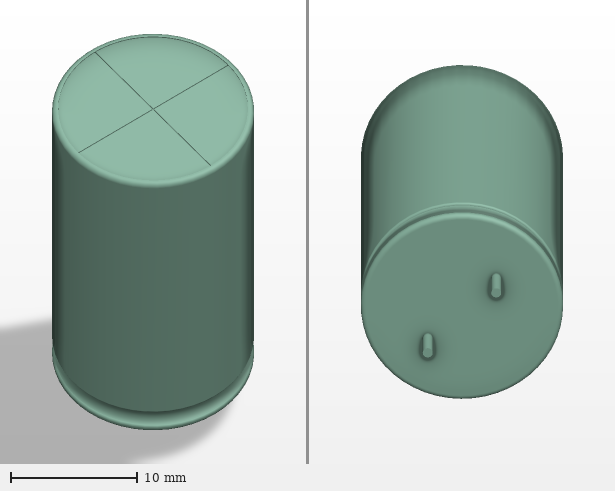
import cadquery as cq
import math

can_diameter = 16.0
overall_length = 33.0
lead_length = 3.0
can_length = overall_length - lead_length
can_radius = can_diameter / 2
edge_radius = 0.4

groove_bottom = 0.5
groove_top = 2.55
groove_depth = 0.8
lip_radius = 0.2

disc_diameter = 15.0
disc_recess = 0.1
score_width = 0.1
score_depth = 0.1

lead_diameter = 0.8
lead_spacing = 7.5
lead_embed = 0.33


def make_can():
    """Revolve the can's half profile: rounded end edges and an arc-shaped crimp groove."""
    flat_radius = can_radius - edge_radius
    lip_inner_radius = can_radius - lip_radius
    groove_floor_radius = can_radius - groove_depth
    groove_middle = (groove_bottom + groove_top) / 2
    edge_mid = edge_radius * math.sqrt(0.5)
    lip_mid = lip_radius * math.sqrt(0.5)

    top_edge_centre = can_length - edge_radius

    profile = (
        cq.Workplane("XZ")
        .lineTo(flat_radius, 0)
        .threePointArc((flat_radius + edge_mid, edge_radius - edge_mid), (can_radius, edge_radius))
        .lineTo(can_radius, groove_bottom)
        .threePointArc(
            (lip_inner_radius + lip_mid, groove_bottom + lip_mid),
            (lip_inner_radius, groove_bottom + lip_radius),
        )
        .threePointArc(
            (groove_floor_radius, groove_middle),
            (lip_inner_radius, groove_top - lip_radius),
        )
        .threePointArc((lip_inner_radius + lip_mid, groove_top - lip_mid), (can_radius, groove_top))
        .lineTo(can_radius, top_edge_centre)
        .threePointArc((flat_radius + edge_mid, top_edge_centre + edge_mid), (flat_radius, can_length))
        .lineTo(0, can_length)
        .close()
    )
    return profile.revolve(360, (0, 0, 0), (0, 1, 0))


def make_top_cut():
    """Shallow round recess with two crossed score lines in its floor."""
    disc_radius = disc_diameter / 2
    recess = cq.Workplane("XY").workplane(offset=can_length).circle(disc_radius).extrude(-disc_recess)
    floor = cq.Workplane("XY").workplane(offset=can_length - disc_recess)
    score_x = floor.rect(disc_diameter, score_width).extrude(-score_depth)
    score_y = floor.rect(score_width, disc_diameter).extrude(-score_depth)
    score_limit = floor.circle(disc_radius).extrude(-score_depth)
    return recess.union(score_x.union(score_y).intersect(score_limit))


def make_leads():
    """Two straight round leads below the can, spaced along X."""
    return (
        cq.Workplane("XY")
        .workplane(offset=-lead_length)
        .pushPoints([(-lead_spacing / 2, 0), (lead_spacing / 2, 0)])
        .circle(lead_diameter / 2)
        .extrude(lead_length + lead_embed)
    )


result = make_can().cut(make_top_cut()).union(make_leads())